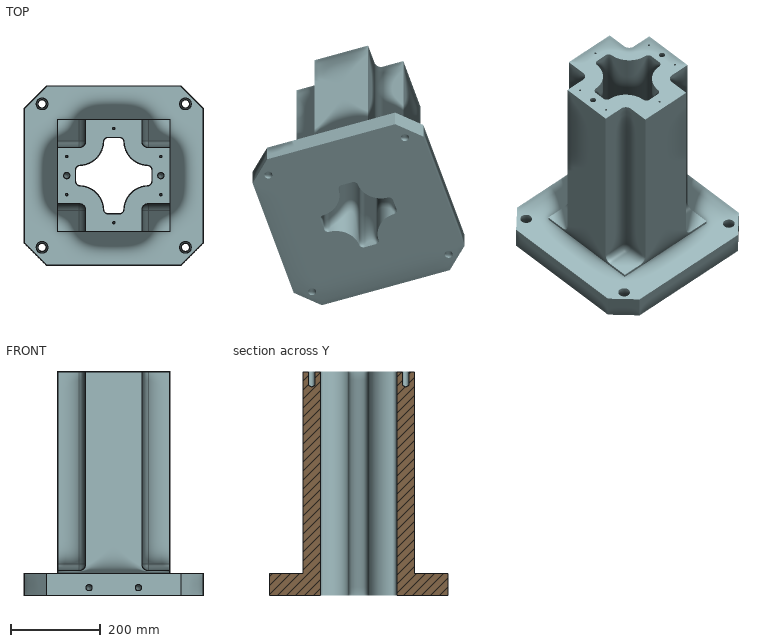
import cadquery as cq
import math

base_side = 400.0
base_height = 50.0
base_chamfer = 50.0
total_height = 500.0
column_side = 250.0
arm_width = 125.0
notch_fillet = 15.0
pad_height = 6.0
overlap = 5.0

opening_half = 85.0
wall_to_notch = 40.0
opening_fillet = 10.0

mount_offset = 160.0
mount_diameter = 18.0
counterbore_diameter = 26.0
counterbore_depth = 25.0

thread_diameter = 14.0
thread_depth = 30.0
pin_diameter = 5.0
pin_depth = 15.0
top_hole_offset = 105.0
pin_offset = 42.5
front_hole_x = 55.0
front_hole_z = 18.0
drill_point_angle = 118.0

column_half = column_side / 2
arm_half = arm_width / 2
pad_top = base_height + pad_height
arc_center = arm_half + notch_fillet
arc_radius = notch_fillet + wall_to_notch
quadrants = [(sx, sy) for sx in (-1, 1) for sy in (-1, 1)]

def make_base():
    return (
        cq.Workplane("XY")
        .box(base_side, base_side, base_height, centered=(True, True, False))
        .edges("|Z")
        .chamfer(base_chamfer)
    )

def make_column():
    """Square column whose four corners are notched down to a thin pad."""
    column = (
        cq.Workplane("XY")
        .workplane(offset=base_height)
        .rect(column_side, column_side)
        .extrude(total_height - base_height)
    )
    notch_size = column_half - arm_half + overlap
    notch_height = total_height - pad_top + overlap
    for sx, sy in quadrants:
        notch = cq.Workplane("XY").box(notch_size, notch_size, notch_height, centered=False)
        inner_edges = notch.edges("(<X and <Y) or (<X and <Z) or (<Y and <Z)")
        notch = inner_edges.fillet(notch_fillet).translate((arm_half, arm_half, pad_top))
        if sx < 0:
            notch = notch.mirror("YZ")
        if sy < 0:
            notch = notch.mirror("XZ")
        column = column.cut(notch)
    return column

def make_opening():
    """Square through opening narrowed by four concave corner walls."""
    height = total_height + 2 * overlap
    opening = (
        cq.Workplane("XY")
        .workplane(offset=-overlap)
        .rect(2 * opening_half, 2 * opening_half)
        .extrude(height)
    )
    outer = opening_half + overlap
    slot_half = arc_center - arc_radius
    middle = arc_center - arc_radius / math.sqrt(2)
    for sx, sy in quadrants:
        corner = (
            cq.Workplane("XY")
            .workplane(offset=-overlap)
            .moveTo(sx * outer, sy * slot_half)
            .lineTo(sx * arc_center, sy * slot_half)
            .threePointArc((sx * middle, sy * middle), (sx * slot_half, sy * arc_center))
            .lineTo(sx * slot_half, sy * outer)
            .lineTo(sx * outer, sy * outer)
            .close()
            .extrude(height)
        )
        opening = opening.cut(corner)
    end_edges = opening.faces("<X or >X or <Y or >Y").edges("|Z")
    return end_edges.fillet(opening_fillet)

def drill(start, direction, diameter, depth):
    """Blind hole with a conical drill point."""
    radius = diameter / 2
    point_height = radius / math.tan(math.radians(drill_point_angle / 2))
    axis = cq.Vector(*direction)
    origin = cq.Vector(*start)
    bore = cq.Solid.makeCylinder(radius, depth, origin, axis)
    point = cq.Solid.makeCone(radius, 0, point_height, origin + axis * depth, axis)
    return bore.fuse(point)

def drill_top(body):
    down = (0, 0, -1)
    for side in (-1, 1):
        offset = side * top_hole_offset
        body = body.cut(drill((offset, 0, total_height), down, thread_diameter, thread_depth))
        body = body.cut(drill((0, offset, total_height), down, pin_diameter, pin_depth))
        for y in (-pin_offset, pin_offset):
            body = body.cut(drill((offset, y, total_height), down, pin_diameter, pin_depth))
    return body

def drill_front(body):
    for x in (-front_hole_x, front_hole_x):
        start = (x, -base_side / 2, front_hole_z)
        body = body.cut(drill(start, (0, 1, 0), thread_diameter, thread_depth))
    return body

def drill_mounting_holes(body):
    centers = [(sx * mount_offset, sy * mount_offset) for sx, sy in quadrants]
    return (
        body.copyWorkplane(cq.Workplane("XY", origin=(0, 0, base_height)))
        .pushPoints(centers)
        .cboreHole(mount_diameter, counterbore_diameter, counterbore_depth)
    )

body = make_base().union(make_column()).cut(make_opening())
body = drill_mounting_holes(body)
body = drill_top(body)
result = drill_front(body)